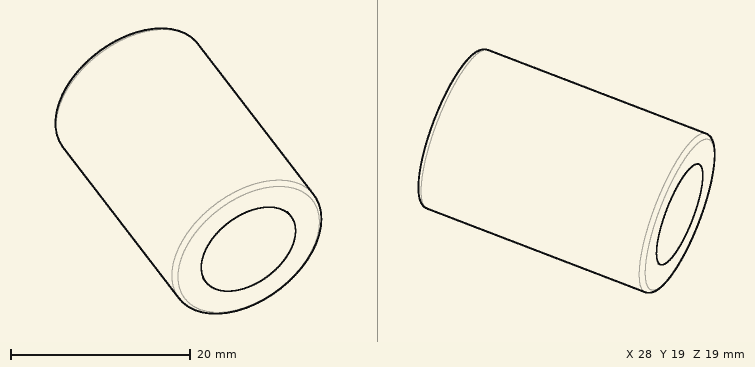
import cadquery as cq

length = 28.0
outer_diameter = 19.0
bore_diameter = 12.0
rim_radius = 0.5

end_plane = cq.Workplane("YZ", origin=(-length / 2, 0, 0))
body = end_plane.circle(outer_diameter / 2).extrude(length)

body = body.faces("<X or >X").edges().fillet(rim_radius)

bore = end_plane.circle(bore_diameter / 2).extrude(length)

result = body.cut(bore)